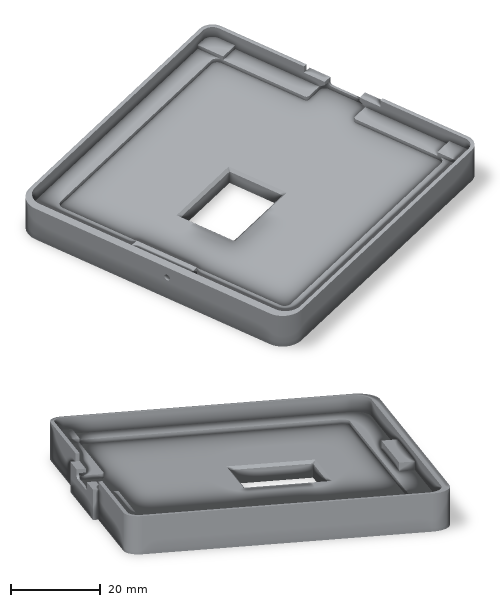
import cadquery as cq

width = 73.8
total_depth = 76.65
height = 9.0
tab_projection = 1.2
depth = total_depth - tab_projection
front_radius = 5.1
back_radius = 3.45

side_wall = 0.9
front_wall = 1.9
ledge_z = 5.05
cavity_front_radius = 8.2 / 2
cavity_back_radius = back_radius - side_wall
cavity_width = width - 2 * side_wall
cavity_back = depth - side_wall

floor_z = 4.0
floor_width = 62.4
floor_front = 7.5
floor_back = 69.8
floor_radius = 1.7
channel_width = 12.5
strip_radius = 0.8

tab_width = 20.7
tab_z = 7.1
notch_width = 9.4
lip_thickness = 0.6
lip_z = ledge_z
undercut_z = 6.2
lip_end_radius = 0.9
lip_y = total_depth - lip_thickness
channel_end_radius = (channel_width - notch_width) / 2

corner_pad_inner_x = 29.05
corner_pad_z = 6.1
front_pad_width = 16.3
front_pad_depth = 3.7
front_pad_z = tab_z

window_y = 31.1
window_width = 14.4
window_length = 19.1
window_chamfer = 0.7
pin_hole_diameter = 1.5
pin_hole_x = 4.0
pin_hole_z = 6.05
pin_hole_depth = 1.5


def block(x_min, x_max, y_min, y_max, z_min, z_max):
    """Axis-aligned box between the given limits."""
    size = (x_max - x_min, y_max - y_min, z_max - z_min)
    return cq.Workplane("XY").box(*size, centered=False).translate((x_min, y_min, z_min))


def centred_block(x_size, y_min, y_max, z_min, z_max):
    """Box that is symmetric about X = 0."""
    return block(-x_size / 2, x_size / 2, y_min, y_max, z_min, z_max)


def rounded_block(x_size, y_min, y_max, z_min, z_max, front_r, back_r):
    """Symmetric box with separate radii on its front and back vertical edges."""
    shape = centred_block(x_size, y_min, y_max, z_min, z_max)
    return shape.edges("|Z and <Y").fillet(front_r).edges("|Z and >Y").fillet(back_r)


def make_tray():
    """Rounded body with its cavity and the tab standing out of the back wall."""
    body = rounded_block(width, 0, depth, 0, height, front_radius, back_radius)
    tab = centred_block(tab_width, cavity_back, total_depth, 0, tab_z)
    above_tab = centred_block(tab_width, cavity_back, total_depth, tab_z, height)
    cavity = rounded_block(
        cavity_width, front_wall, cavity_back, ledge_z, height, cavity_front_radius, cavity_back_radius
    )
    return body.union(tab).cut(above_tab).cut(cavity)


def make_pads():
    """Two back corner pads and one front pad, all sitting on the ledge."""
    cavity_shape = rounded_block(
        cavity_width, front_wall, cavity_back, ledge_z, corner_pad_z, cavity_front_radius, cavity_back_radius
    )
    back_band = centred_block(cavity_width, floor_back, cavity_back, ledge_z, corner_pad_z)
    between_pads = centred_block(2 * corner_pad_inner_x, floor_back, cavity_back, ledge_z, corner_pad_z)
    corner_pads = cavity_shape.intersect(back_band).cut(between_pads)
    front_pad = centred_block(front_pad_width, front_wall, front_wall + front_pad_depth, ledge_z, front_pad_z)
    return corner_pads, front_pad


def make_channel(top_z):
    """Channel from the sunken floor to the lip, rounded at its back corners."""
    channel = centred_block(channel_width, floor_front, lip_y, floor_z, top_z)
    return channel.edges("|Z and >Y").fillet(channel_end_radius)


def make_undercut():
    """Relief under the wall that slopes up from the channel sides to the notch sides."""
    taper = (
        cq.Workplane("XZ", origin=(0, cavity_back, 0))
        .moveTo(-channel_width / 2, ledge_z)
        .lineTo(channel_width / 2, ledge_z)
        .lineTo(notch_width / 2, undercut_z)
        .lineTo(-notch_width / 2, undercut_z)
        .close()
        .extrude(cavity_back - lip_y)
    )
    return taper.intersect(make_channel(undercut_z))


def make_floor_recess():
    """Sunken floor joined to a channel that runs back under the wall to the lip."""
    recess = rounded_block(floor_width, floor_front, floor_back, floor_z, ledge_z, floor_radius, floor_radius)
    recess = recess.union(make_channel(ledge_z))
    strip_corners = cq.selectors.BoxSelector(
        (-channel_width, floor_back - strip_radius, floor_z - 0.8),
        (channel_width, floor_back + strip_radius, ledge_z + 0.8),
    )
    return recess.edges("|Z").edges(strip_corners).fillet(strip_radius)


def make_notch():
    """Gap through the back wall and tab that leaves a low lip, curved up at its ends."""
    gap = centred_block(notch_width, cavity_back, lip_y, ledge_z, height)
    above_lip = centred_block(notch_width, lip_y, total_depth, lip_z, height)
    above_lip = above_lip.edges("|Y and <Z").fillet(lip_end_radius)
    return gap.union(above_lip)


def make_window():
    """Rectangular through opening with a chamfered upper rim."""
    opening = cq.Workplane("XY").center(0, window_y).rect(window_width, window_length).extrude(floor_z)
    flare = (
        cq.Workplane("XY", origin=(0, window_y, floor_z - window_chamfer))
        .rect(window_width, window_length)
        .workplane(offset=window_chamfer)
        .rect(window_width + 2 * window_chamfer, window_length + 2 * window_chamfer)
        .loft()
    )
    return opening.union(flare)


def make_pin_hole():
    """Blind round hole in the front wall."""
    plane = cq.Workplane("XZ", origin=(pin_hole_x, 0, pin_hole_z))
    return plane.circle(pin_hole_diameter / 2).extrude(-pin_hole_depth)


result = make_tray()
for pad in make_pads():
    result = result.union(pad)
pockets = (make_floor_recess(), make_notch(), make_undercut(), make_window(), make_pin_hole())
for pocket in pockets:
    result = result.cut(pocket)